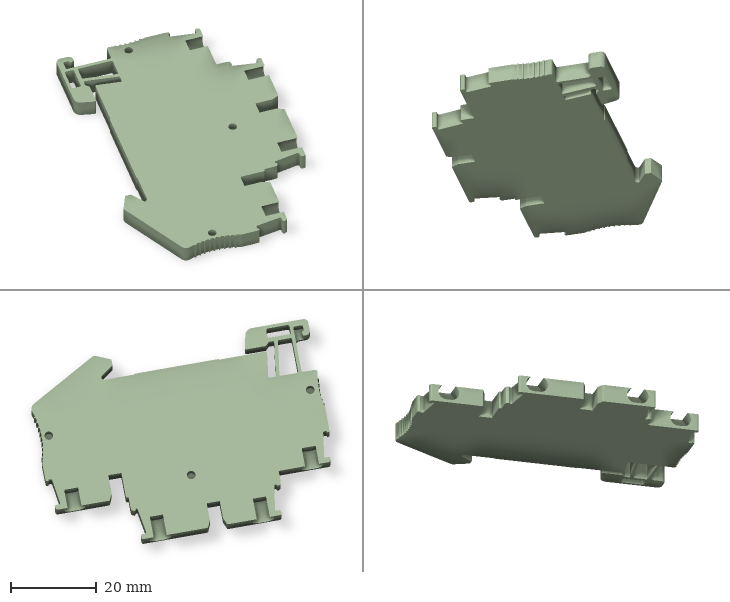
import cadquery as cq
import math

LENGTH = 67.6
HEIGHT = 45.8
THICKNESS = 4.2

RIGHT_WALL_X = 67.45
LOWER_AXIS_X = RIGHT_WALL_X / 2
UPPER_AXIS_X = 31.27
LOWER_TOP_Y = 35.2

SMALL_R = 0.3
TINY_R = 0.15
LIP_R = 0.4
WALL_BEND_R = 3.0
WEB_FOOT_R = 1.0

SLOT_WIDTH = 3.1
SLOT_LEAD = 0.75
SLOT_LEAD_DEPTH = 1.75
UPPER_SLOT_X = 28.3
UPPER_SLOT_FLOOR_Y = 39.9
LOWER_SLOT_X = 49.7
LOWER_SLOT_FLOOR_Y = 29.1

ENTRY_RADIUS = 1.9
UPPER_ENTRY_OFFSET = 12.24
UPPER_ENTRY_DEPTH = 5.05
UPPER_ENTRY_OPENING = 3.1
UPPER_ENTRY_FLAT = 1.4
LOWER_ENTRY_OFFSET = 28.2
LOWER_ENTRY_DEPTH = 4.45
LOWER_ENTRY_OPENING = 3.3
LOWER_ENTRY_FLAT = 1.2

HOLE_RADIUS = 1.0
HOLE_DEPTH = 2.0
SIDE_HOLE_Y = 17.17
SIDE_HOLE_INSET = 2.68
MIDDLE_HOLE_Y = 32.5

GRIP_RADIUS = 19.0
LEFT_GRIP_DEPTH = 0.64
RIGHT_GRIP_DEPTH = 1.05
RIB_PITCH = 1.23
RIB_WIDTH = 0.35
RIB_HEIGHT = 0.28
LEFT_RIBS = range(-2, 4)
RIGHT_RIBS = range(-4, 5)

BODY_LOW_Y = 12.58
RAIL_SEAT_Y = 6.16
SEAT_PAD_DROP = 0.18
SEAT_PAD_START_X = 22.5
SEAT_PAD_END_X = 42.3

FOOT_LEFT_X = 0.2
FOOT_TOP_Y = 4.0
HEEL_R = 1.08
FOOT_TOE_X = 16.0
FOOT_TOE_Y = 4.86
WEB_LEFT_X = 3.87
WEB_RIGHT_X = 4.66
POCKET_FLOOR_Z = 1.05
POCKET_LEFT_X = 1.58
POCKET_LOW_Y = 1.42


def rounded_wire(corners):
    """Closed outline through (x, y, radius) corners, each rounded by a tangent arc."""
    spans = []
    count = len(corners)
    for i, (x, y, radius) in enumerate(corners):
        before = cq.Vector(*corners[i - 1][:2])
        after = cq.Vector(*corners[(i + 1) % count][:2])
        corner = cq.Vector(x, y)
        to_before = (before - corner).normalized()
        to_after = (after - corner).normalized()
        half_angle = to_before.getAngle(to_after) / 2
        setback = radius / math.tan(half_angle)
        bisector = (to_before + to_after).normalized()
        middle = corner + bisector * (radius / math.sin(half_angle) - radius)
        spans.append((corner + to_before * setback, middle, corner + to_after * setback, radius))

    path = cq.Workplane("XY").moveTo(*spans[0][2].toTuple()[:2])
    for start, middle, end, radius in spans[1:] + spans[:1]:
        path = path.lineTo(start.x, start.y)
        if radius > 0:
            path = path.threePointArc((middle.x, middle.y), (end.x, end.y))
    return path.close()


def mirrored(corners, axis_x):
    """The same corners reflected about a vertical axis, in reversed order."""
    return [(2 * axis_x - x, y, radius) for x, y, radius in reversed(corners)]


def body_corners():
    """Corners of the outline, clockwise from the left shoulder; the foot is included.

    The small step of the left wall, at mid grip height, lies in the stock that the grip removes.
    """
    lower_left_latch = [
        (0.0, 26.97, WALL_BEND_R),
        (0.07, 27.9, 0),
        (0.64, 28.05, 0),
        (0.7, 27.66, TINY_R),
        (1.52, 27.66, SMALL_R),
        (2.42, 33.98, SMALL_R),
        (0.85, 33.98, LIP_R),
        (1.25, LOWER_TOP_Y, LIP_R),
    ]
    upper_left_latch = [
        (13.45, 37.6, WALL_BEND_R),
        (13.54, 38.4, SMALL_R),
        (14.3, 38.8, SMALL_R),
        (14.65, 38.25, TINY_R),
        (15.0, 38.25, SMALL_R),
        (16.05, 44.58, LIP_R),
        (14.65, 44.58, LIP_R),
        (14.65, HEIGHT, LIP_R),
    ]
    upper_slot = [
        (UPPER_SLOT_X - SLOT_LEAD, HEIGHT, SMALL_R),
        (UPPER_SLOT_X, HEIGHT - SLOT_LEAD_DEPTH, 0),
        (UPPER_SLOT_X, UPPER_SLOT_FLOOR_Y, 0),
        (UPPER_SLOT_X + SLOT_WIDTH, UPPER_SLOT_FLOOR_Y, 0),
        (UPPER_SLOT_X + SLOT_WIDTH, HEIGHT - SLOT_LEAD_DEPTH, 0),
        (UPPER_SLOT_X + SLOT_WIDTH + SLOT_LEAD, HEIGHT, SMALL_R),
    ]
    upper_left_x = upper_left_latch[0][0]
    lower_slot = [
        (2 * UPPER_AXIS_X - upper_left_x, LOWER_TOP_Y, 0),
        (LOWER_SLOT_X, LOWER_TOP_Y, SMALL_R),
        (LOWER_SLOT_X, LOWER_SLOT_FLOOR_Y, 0),
        (LOWER_SLOT_X + SLOT_WIDTH, LOWER_SLOT_FLOOR_Y, 0),
        (LOWER_SLOT_X + SLOT_WIDTH, LOWER_TOP_Y - SLOT_LEAD_DEPTH, 0),
        (LOWER_SLOT_X + SLOT_WIDTH + SLOT_LEAD, LOWER_TOP_Y, SMALL_R),
    ]
    rail_hook = [
        (LENGTH, 9.4, 1.5),
        (50.96, -0.08, 1.0),
        (47.05, 1.6, 0),
        (47.05, 3.08, 0),
        (50.4, 5.45, 0.45),
        (49.75, RAIL_SEAT_Y, 0.4),
    ]
    pad_y = RAIL_SEAT_Y - SEAT_PAD_DROP
    rail_seat = [
        (SEAT_PAD_END_X + SEAT_PAD_DROP, RAIL_SEAT_Y, 0),
        (SEAT_PAD_END_X, pad_y, 0),
        (SEAT_PAD_START_X, pad_y, 0),
        (SEAT_PAD_START_X - SEAT_PAD_DROP, RAIL_SEAT_Y, 0),
        (10.93, RAIL_SEAT_Y, SMALL_R),
    ]
    spring_gap = [
        (11.8, BODY_LOW_Y, SMALL_R),
        (10.05, BODY_LOW_Y, SMALL_R),
        (8.85, FOOT_TOP_Y, SMALL_R),
        (10.15, FOOT_TOP_Y, SMALL_R),
        (10.95, FOOT_TOE_Y, 0),
    ]
    foot = [
        (FOOT_TOE_X, FOOT_TOE_Y, LIP_R),
        (14.9, 0, 1.8),
        (FOOT_LEFT_X, 0, HEEL_R),
        (FOOT_LEFT_X, FOOT_TOP_Y, HEEL_R),
        (WEB_LEFT_X, FOOT_TOP_Y, WEB_FOOT_R),
        (WEB_LEFT_X, BODY_LOW_Y, 0.5),
        (FOOT_LEFT_X, BODY_LOW_Y, 0.55),
        (FOOT_LEFT_X, SIDE_HOLE_Y, 0),
        (0, SIDE_HOLE_Y, 0),
    ]
    return (
        lower_left_latch
        + [(upper_left_x, LOWER_TOP_Y, 0)]
        + upper_left_latch
        + upper_slot
        + mirrored(upper_left_latch, UPPER_AXIS_X)
        + lower_slot
        + mirrored(lower_left_latch, LOWER_AXIS_X)
        + rail_hook
        + rail_seat
        + spring_gap
        + foot
    )


def foot_windows():
    """Two through openings: between the spring webs, and inside the foot."""
    between_webs = rounded_wire([
        (WEB_RIGHT_X, FOOT_TOP_Y, SMALL_R),
        (WEB_RIGHT_X, BODY_LOW_Y, SMALL_R),
        (9.15, BODY_LOW_Y, SMALL_R),
        (7.95, FOOT_TOP_Y, SMALL_R),
    ])
    window_right_x = 10.22
    window_low_y = 0.76
    window_top_y = 3.03
    window_r = 0.5
    inside_foot = rounded_wire([
        (WEB_RIGHT_X, window_low_y, window_r),
        (WEB_RIGHT_X, window_top_y, SMALL_R),
        (window_right_x, window_top_y, SMALL_R),
        (window_right_x, window_low_y, window_r),
    ])
    return between_webs.extrude(THICKNESS).union(inside_foot.extrude(THICKNESS))


def foot_pocket():
    """Pocket behind the hooked heel of the foot, leaving a thin floor."""
    pocket = rounded_wire([
        (POCKET_LEFT_X, POCKET_LOW_Y, SMALL_R),
        (POCKET_LEFT_X, 2.6, SMALL_R),
        (2.2, 3.15, SMALL_R),
        (1.4, FOOT_TOP_Y + WEB_FOOT_R, 0),
        (WEB_LEFT_X, FOOT_TOP_Y + WEB_FOOT_R, 0),
        (WEB_LEFT_X, POCKET_LOW_Y, SMALL_R),
    ])
    return pocket.extrude(THICKNESS - POCKET_FLOOR_Z).translate((0, 0, POCKET_FLOOR_Z))


def conductor_entry(x, top_y, depth, opening, flat):
    """Oblong bore running down from the top edge of a level and breaking through the top face."""
    overhang = (opening - flat) / 2
    axis_z = THICKNESS - math.sqrt(ENTRY_RADIUS**2 - overhang**2)
    return (
        cq.Workplane("XZ", origin=(x, top_y, axis_z))
        .slot2D(flat + 2 * ENTRY_RADIUS, 2 * ENTRY_RADIUS)
        .extrude(depth)
    )


def grip_hollow(deepest_x, side):
    """Cylinder hollowing a side wall; side is -1 for the left wall and 1 for the right."""
    center_x = deepest_x + side * GRIP_RADIUS
    return cq.Workplane("XY").center(center_x, SIDE_HOLE_Y).circle(GRIP_RADIUS).extrude(THICKNESS)


def grip_ribs(deepest_x, side, numbers):
    """Small ribs standing on the hollow, rooted one rib height below its surface."""
    ribs = cq.Workplane("XY")
    for number in numbers:
        rise = number * RIB_PITCH
        sag = GRIP_RADIUS - math.sqrt(GRIP_RADIUS**2 - rise**2)
        surface_x = deepest_x + side * sag
        rib = (
            cq.Workplane("XY")
            .center(surface_x, SIDE_HOLE_Y + rise)
            .rect(2 * RIB_HEIGHT, RIB_WIDTH)
            .extrude(THICKNESS)
        )
        ribs = ribs.union(rib)
    return ribs


def build_part():
    part = rounded_wire(body_corners()).extrude(THICKNESS)
    part = part.cut(foot_windows()).cut(foot_pocket())

    grips = [
        (LEFT_GRIP_DEPTH, -1, LEFT_RIBS),
        (RIGHT_WALL_X - RIGHT_GRIP_DEPTH, 1, RIGHT_RIBS),
    ]
    for deepest_x, side, numbers in grips:
        part = part.cut(grip_hollow(deepest_x, side))
        part = part.union(grip_ribs(deepest_x, side, numbers))

    entry_levels = [
        (
            UPPER_AXIS_X, UPPER_ENTRY_OFFSET, HEIGHT,
            UPPER_ENTRY_DEPTH, UPPER_ENTRY_OPENING, UPPER_ENTRY_FLAT,
        ),
        (
            LOWER_AXIS_X, LOWER_ENTRY_OFFSET, LOWER_TOP_Y,
            LOWER_ENTRY_DEPTH, LOWER_ENTRY_OPENING, LOWER_ENTRY_FLAT,
        ),
    ]
    for axis_x, offset, top_y, depth, opening, flat in entry_levels:
        for x in (axis_x - offset, axis_x + offset):
            part = part.cut(conductor_entry(x, top_y, depth, opening, flat))

    hole_centers = [
        (SIDE_HOLE_INSET, SIDE_HOLE_Y),
        (RIGHT_WALL_X - SIDE_HOLE_INSET, SIDE_HOLE_Y),
        (LOWER_AXIS_X, MIDDLE_HOLE_Y),
    ]
    holes = (
        cq.Workplane("XY", origin=(0, 0, THICKNESS - HOLE_DEPTH))
        .pushPoints(hole_centers)
        .circle(HOLE_RADIUS)
        .extrude(HOLE_DEPTH)
    )
    return part.cut(holes)


result = build_part()